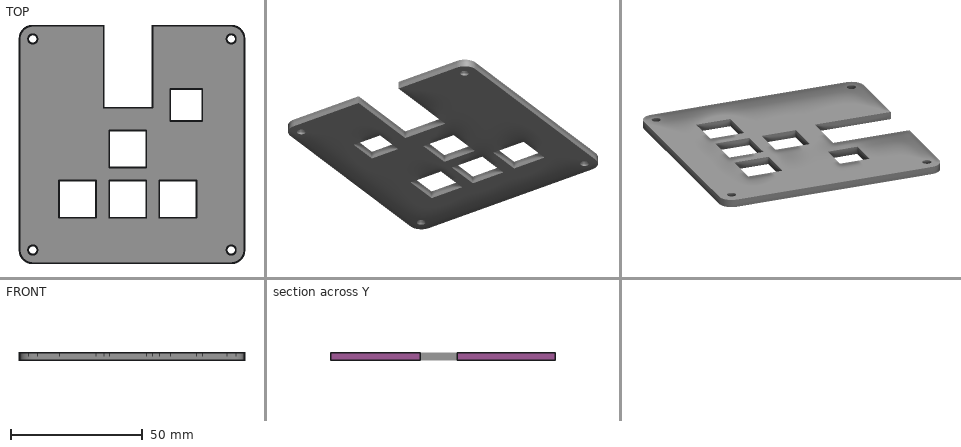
import cadquery as cq

plate_width = 85.3
plate_length = 90.1
plate_thickness = 3.0
corner_radius = 5.0

screw_hole_diameter = 3.4

notch_width = 18.4
notch_depth = 31.1
notch_center_x = -1.4

key_opening = 14.0
key_pitch = 19.0
middle_key_x = -1.6
key_row_y = -20.7

small_opening = 12.1
small_opening_center = (20.5, 14.95)


def square_cutter(side, centers):
    """Square prisms through the full plate thickness."""
    return cq.Workplane("XY").pushPoints(centers).rect(side, side).extrude(plate_thickness)


def make_plate():
    """Flat plate with rounded vertical corners."""
    blank = cq.Workplane("XY").rect(plate_width, plate_length).extrude(plate_thickness)
    return blank.edges("|Z").fillet(corner_radius)


def make_screw_holes():
    """One through hole on each corner arc's centre."""
    return (
        cq.Workplane("XY")
        .rect(plate_width - 2 * corner_radius, plate_length - 2 * corner_radius, forConstruction=True)
        .vertices()
        .circle(screw_hole_diameter / 2)
        .extrude(plate_thickness)
    )


def make_notch():
    """Rectangular notch reaching in from the +Y edge."""
    notch_center_y = plate_length / 2 - notch_depth / 2
    return (
        cq.Workplane("XY")
        .center(notch_center_x, notch_center_y)
        .rect(notch_width, notch_depth)
        .extrude(plate_thickness)
    )


key_centers = [(middle_key_x + column * key_pitch, key_row_y) for column in (-1, 0, 1)]
key_centers.append((middle_key_x, key_row_y + key_pitch))

result = (
    make_plate()
    .cut(make_screw_holes())
    .cut(make_notch())
    .cut(square_cutter(key_opening, key_centers))
    .cut(square_cutter(small_opening, [small_opening_center]))
)